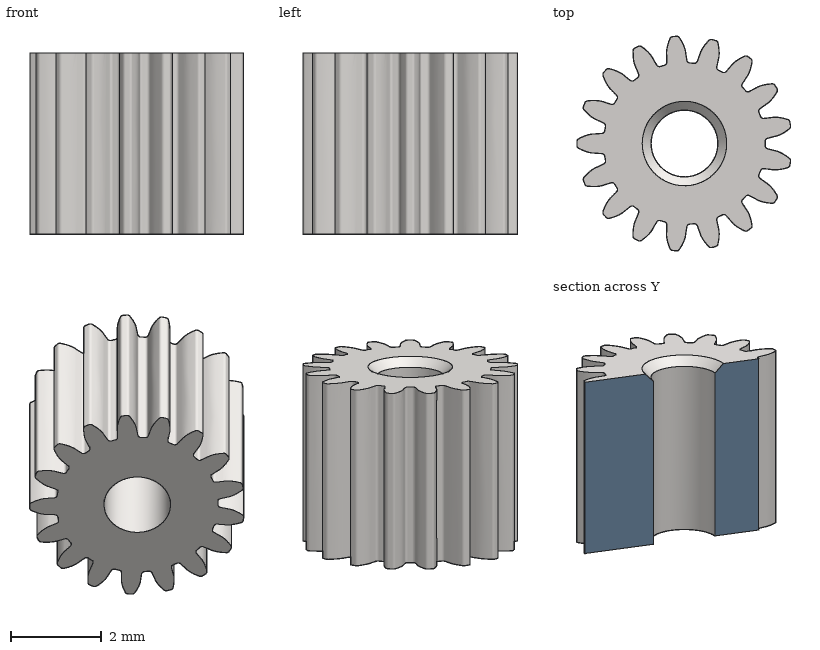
import cadquery as cq
import math

tooth_count = 17
outer_radius = 2.375
module = 2 * outer_radius / (tooth_count + 2)
pressure_angle = math.radians(20)
root_radius = 1.785
root_tooth_thickness = 0.46
tip_fillet = 0.07
root_fillet = 0.065
flank_samples = 8

height = 4.0
bore_diameter = 1.465
bore_chamfer = 0.2
chamfer_cone_angle = 90

pitch_radius = module * tooth_count / 2
base_radius = pitch_radius * math.cos(pressure_angle)
tooth_pitch_angle = 2 * math.pi / tooth_count
root_half_angle = root_tooth_thickness / (2 * root_radius)


def polar(radius, angle):
    return (radius * math.cos(angle), radius * math.sin(angle))


def involute(angle):
    return math.tan(angle) - angle


def tooth_half_angle(radius):
    """Half the angle that a tooth spans at a radius on its involute flank."""
    local_pressure_angle = math.acos(base_radius / radius)
    pitch_half_angle = tooth_pitch_angle / 4
    return pitch_half_angle + involute(pressure_angle) - involute(local_pressure_angle)


def flank(center_angle, side):
    """Involute points from base circle to tip; side is -1 or +1 about the tooth center."""
    step = (outer_radius - base_radius) / flank_samples
    radii = [base_radius + i * step for i in range(flank_samples + 1)]
    return [polar(r, center_angle + side * tooth_half_angle(r)) for r in radii]


def gear_outline():
    """Closed outline of all teeth, counterclockwise, with one tooth centered on -X."""
    outline = cq.Workplane("XY").moveTo(*polar(root_radius, math.pi - root_half_angle))
    for i in range(tooth_count):
        center = math.pi + i * tooth_pitch_angle
        rising = flank(center, -1)
        falling = flank(center, 1)[::-1]
        outline = outline.lineTo(*rising[0])
        outline = outline.spline(rising[1:], includeCurrent=True)
        outline = outline.threePointArc(polar(outer_radius, center), falling[0])
        outline = outline.spline(falling[1:], includeCurrent=True)
        outline = outline.lineTo(*polar(root_radius, center + root_half_angle))
        outline = outline.threePointArc(
            polar(root_radius, center + tooth_pitch_angle / 2),
            polar(root_radius, center + tooth_pitch_angle - root_half_angle),
        )
    return outline.close()


def edges_at_radius(body, radius):
    """Upright edges that lie on a given radius about the gear axis."""
    tolerance = 0.0005
    return body.edges("|Z").filter(
        lambda edge: abs(math.hypot(edge.Center().x, edge.Center().y) - radius) < tolerance
    )


gear = gear_outline().extrude(height)
gear = edges_at_radius(gear, outer_radius).fillet(tip_fillet)
gear = edges_at_radius(gear, root_radius).fillet(root_fillet)

top_bore_diameter = bore_diameter + 2 * bore_chamfer
gear = (
    gear.faces(">Z")
    .workplane(origin=(0, 0, height))
    .cskHole(bore_diameter, top_bore_diameter, chamfer_cone_angle)
)

result = gear